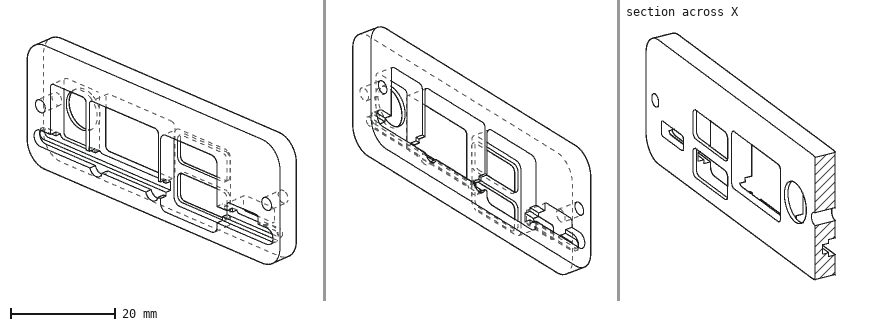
import cadquery as cq

LENGTH = 68.15
THICKNESS = 4.5
HEIGHT = 26.39
CORNER_RADIUS = 4.75
FRONT_Y = -THICKNESS / 2

MOUNT_HOLE_DIAMETER = 2.65
MOUNT_HOLE_SPACING = 61.0
MOUNT_HOLE_Z = -0.15

BACK_WALL = 0.8
RECESS_DEPTH = THICKNESS - BACK_WALL

ROUND_RECESS_X = -23.0
ROUND_RECESS_WIDTH = 9.6
ROUND_RECESS_HEIGHT = 12.6
ROUND_RECESS_Z = -0.6
ROUND_RECESS_RADIUS = 0.9
ROUND_OPENING_DIAMETER = 8.35
ROUND_OPENING_Z = 0.3

WINDOW_X = -8.0
WINDOW_Z = -0.4
WINDOW_WIDTH = 18.6
WINDOW_HEIGHT = 12.15
WINDOW_RADIUS = 0.9

PORT_X = 9.5
PORT_Z = -3.0
PORT_RECESS_WIDTH = 15.2
PORT_RECESS_HEIGHT = 16.4
PORT_RECESS_RADIUS = 1.5
PORT_WIDTH = 13.3
PORT_HEIGHT = 6.15
PORT_SPACING = 8.2
PORT_RADIUS = 1.2

SMALL_PORT_X = 24.0
SMALL_PORT_Z = -5.0
SMALL_PORT_WIDTH = 8.4
SMALL_PORT_HEIGHT = 3.25
SMALL_PORT_RADIUS = 0.6

GROOVE_Z = -7.0
GROOVE_LENGTH = 64.4
GROOVE_WIDTH = 3.5
GROOVE_DEPTH = 1.5
INNER_GROOVE_WIDTH = 1.9
INNER_GROOVE_DEPTH = 2.75
INNER_GROOVE_LENGTH = 64.15

NOTCH_RADIUS = 1.7
NOTCH_X = (-15.5, -0.45)
NOTCH_Z = -8.3


def rounded_block(x, z, width, height, radius, depth=THICKNESS):
    """Block with rounded corners, running back from the front face."""
    block = cq.Workplane("XY").box(width, depth, height).edges("|Y").fillet(radius)
    return block.translate((x, FRONT_Y + depth / 2, z))


def cylinder(x, z, diameter, depth=THICKNESS):
    """Cylinder along Y, running back from the front face."""
    circle = cq.Workplane("XZ", origin=(x, FRONT_Y, z)).circle(diameter / 2)
    return circle.extrude(-depth)


def groove(length, width, depth):
    """Round-ended groove, running back from the front face."""
    slot = cq.Workplane("XZ", origin=(0, FRONT_Y, GROOVE_Z)).slot2D(length, width)
    return slot.extrude(-depth)


def cut_mounting_holes(plate):
    """Hole through the plate near each end."""
    for side in (-1, 1):
        hole_x = side * MOUNT_HOLE_SPACING / 2
        plate = plate.cut(cylinder(hole_x, MOUNT_HOLE_Z, MOUNT_HOLE_DIAMETER))
    return plate


def cut_round_opening(plate):
    """Rectangular recess with a round opening through its back wall."""
    recess = rounded_block(
        ROUND_RECESS_X,
        ROUND_RECESS_Z,
        ROUND_RECESS_WIDTH,
        ROUND_RECESS_HEIGHT,
        ROUND_RECESS_RADIUS,
        RECESS_DEPTH,
    )
    opening = cylinder(ROUND_RECESS_X, ROUND_OPENING_Z, ROUND_OPENING_DIAMETER)
    return plate.cut(recess).cut(opening)


def cut_windows(plate):
    """Large window and small connector opening, both straight through."""
    window = rounded_block(WINDOW_X, WINDOW_Z, WINDOW_WIDTH, WINDOW_HEIGHT, WINDOW_RADIUS)
    small_port = rounded_block(
        SMALL_PORT_X, SMALL_PORT_Z, SMALL_PORT_WIDTH, SMALL_PORT_HEIGHT, SMALL_PORT_RADIUS
    )
    return plate.cut(window).cut(small_port)


def cut_stacked_ports(plate):
    """Rectangular recess with two port openings, one above the other."""
    recess = rounded_block(
        PORT_X, PORT_Z, PORT_RECESS_WIDTH, PORT_RECESS_HEIGHT, PORT_RECESS_RADIUS, RECESS_DEPTH
    )
    plate = plate.cut(recess)
    for side in (-1, 1):
        port_z = PORT_Z + side * PORT_SPACING / 2
        plate = plate.cut(rounded_block(PORT_X, port_z, PORT_WIDTH, PORT_HEIGHT, PORT_RADIUS))
    return plate


def cut_stepped_groove(plate):
    """Wide groove with a narrower, deeper one in its floor and notches in its lower edge."""
    plate = plate.cut(groove(GROOVE_LENGTH, GROOVE_WIDTH, GROOVE_DEPTH))
    plate = plate.cut(groove(INNER_GROOVE_LENGTH, INNER_GROOVE_WIDTH, INNER_GROOVE_DEPTH))
    for notch_x in NOTCH_X:
        plate = plate.cut(cylinder(notch_x, NOTCH_Z, 2 * NOTCH_RADIUS, GROOVE_DEPTH))
    return plate


result = rounded_block(0, 0, LENGTH, HEIGHT, CORNER_RADIUS)
result = cut_mounting_holes(result)
result = cut_round_opening(result)
result = cut_windows(result)
result = cut_stacked_ports(result)
result = cut_stepped_groove(result)